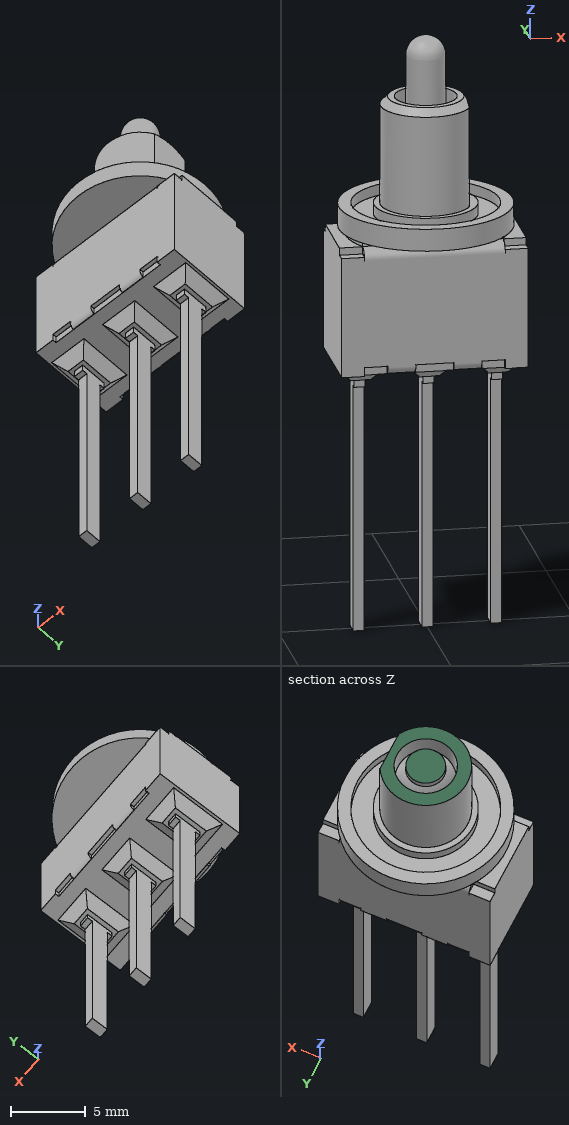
import cadquery as cq


BODY_LENGTH = 12.7
BODY_WIDTH = 6.86
BODY_HEIGHT = 8.87

END_BLOCK_LENGTH = 1.57
CORNER_STEP_WIDTH = 0.76
CORNER_STEP_DEPTH = 0.51

COVER_LENGTH = BODY_LENGTH - 2 * END_BLOCK_LENGTH
COVER_BOTTOM = 0.62
COVER_THICKNESS = 0.3
COVER_BEND_RADIUS = 0.76

TAB_LENGTH = 1.9
TAB_OFFSET = 2.25
TAB_BEND_RADIUS = 0.5

PLATE_DIAMETER = 10.9
PLATE_WIDTH = 5.25
PLATE_HEIGHT = 0.46
PLATE_EDGE_RADIUS = 0.45

FLANGE_DIAMETER = 11.81
FLANGE_THICKNESS = 1.54
RECESS_OUTER_DIAMETER = 10.01
RECESS_INNER_DIAMETER = 7.01
RECESS_DEPTH = 0.76

SLEEVE_DIAMETER = 6.16
SLEEVE_HEIGHT = 7.47
SLEEVE_CHAMFER = 0.52
SLEEVE_FLAT_X = 2.7
BORE_DIAMETER = 4.2
BORE_DEPTH = 4.0

BUTTON_DIAMETER = 2.7
BUTTON_RISE = 4.25

PIN_PITCH = 4.67
PIN_THICKNESS = 0.76
PIN_WIDTH = 1.3
PIN_SHOULDER_WIDTH = 2.1
PIN_SHOULDER_LENGTH = 0.57
FOOT_LENGTH = 2.95
FOOT_WIDTH = 4.2
FOOT_HEIGHT = 0.93
FOOT_TAPER = 0.77
TOTAL_HEIGHT = 41.33

FLANGE_BOTTOM = BODY_HEIGHT + PLATE_HEIGHT
FLANGE_TOP = FLANGE_BOTTOM + FLANGE_THICKNESS
SLEEVE_TOP = FLANGE_TOP + SLEEVE_HEIGHT
BUTTON_TOP = SLEEVE_TOP + BUTTON_RISE
PIN_TIP = BUTTON_TOP - TOTAL_HEIGHT


def block(length, width, bottom, top, x=0, y=0):
    """Upright box centred on (x, y) between two levels."""
    return (
        cq.Workplane("XY", origin=(x, y, bottom))
        .rect(length, width)
        .extrude(top - bottom)
    )


def disc(diameter, bottom, top):
    """Cylinder on the button axis between two levels."""
    return cq.Workplane("XY", origin=(0, 0, bottom)).circle(diameter / 2).extrude(top - bottom)


def end_block(side):
    """Full-width block at one end of the body, with both top corners stepped down."""
    x = side * (BODY_LENGTH - END_BLOCK_LENGTH) / 2
    solid = block(END_BLOCK_LENGTH, BODY_WIDTH, 0, BODY_HEIGHT, x)
    for corner in (-1, 1):
        y = corner * (BODY_WIDTH - CORNER_STEP_WIDTH) / 2
        step_bottom = BODY_HEIGHT - CORNER_STEP_DEPTH
        solid = solid.cut(block(END_BLOCK_LENGTH, CORNER_STEP_WIDTH, step_bottom, BODY_HEIGHT, x, y))
    return solid


def cover():
    """Middle of the body: a narrower core under the bent cover and its folded tabs."""
    core = block(COVER_LENGTH, BODY_WIDTH - 2 * COVER_THICKNESS, 0, COVER_BOTTOM)
    shell = block(COVER_LENGTH, BODY_WIDTH, COVER_BOTTOM, BODY_HEIGHT)
    solid = core.union(shell.faces(">Z").edges("|X").fillet(COVER_BEND_RADIUS))
    for side in (-1, 1):
        tab = block(TAB_LENGTH, BODY_WIDTH, 0, COVER_BOTTOM, side * TAB_OFFSET)
        solid = solid.union(tab.faces("<Z").edges("|X").fillet(TAB_BEND_RADIUS))
    return solid


def plate():
    """Disc trimmed to two parallel sides, with its whole top edge rounded."""
    round_plate = disc(PLATE_DIAMETER, BODY_HEIGHT, FLANGE_BOTTOM)
    trim = block(PLATE_DIAMETER, PLATE_WIDTH, BODY_HEIGHT, FLANGE_BOTTOM)
    return round_plate.intersect(trim).faces(">Z").edges().fillet(PLATE_EDGE_RADIUS)


def flange():
    """Round flange with a ring-shaped recess around the sleeve."""
    recess_floor = FLANGE_TOP - RECESS_DEPTH
    recess = disc(RECESS_OUTER_DIAMETER, recess_floor, FLANGE_TOP).cut(
        disc(RECESS_INNER_DIAMETER, recess_floor, FLANGE_TOP)
    )
    return disc(FLANGE_DIAMETER, FLANGE_BOTTOM, FLANGE_TOP).cut(recess)


def sleeve():
    """Chamfered sleeve with a flat side and a blind bore for the button."""
    solid = disc(SLEEVE_DIAMETER, FLANGE_TOP, SLEEVE_TOP).faces(">Z").edges().chamfer(SLEEVE_CHAMFER)
    removed_length = SLEEVE_DIAMETER / 2 - SLEEVE_FLAT_X
    solid = solid.cut(
        block(removed_length, SLEEVE_DIAMETER, FLANGE_TOP, SLEEVE_TOP, SLEEVE_FLAT_X + removed_length / 2)
    )
    return solid.cut(disc(BORE_DIAMETER, SLEEVE_TOP - BORE_DEPTH, SLEEVE_TOP))


def button():
    """Hemispherical-tipped stem rising from a half ball on the bore floor."""
    stem_radius = BUTTON_DIAMETER / 2
    ball_radius = BORE_DIAMETER / 2
    bore_floor = SLEEVE_TOP - BORE_DEPTH
    ball = (
        cq.Workplane("XY", origin=(0, 0, bore_floor))
        .sphere(ball_radius)
        .intersect(disc(BORE_DIAMETER, bore_floor, SLEEVE_TOP))
    )
    dome_base = BUTTON_TOP - stem_radius
    stem = disc(BUTTON_DIAMETER, bore_floor, dome_base)
    dome = cq.Workplane("XY", origin=(0, 0, dome_base)).sphere(stem_radius)
    return ball.union(stem).union(dome)


def pin(x):
    """Flat pin with a wider shoulder, leaving the body through a tapered foot."""
    foot = (
        cq.Workplane("XY", origin=(x, 0, 0))
        .rect(FOOT_LENGTH, FOOT_WIDTH)
        .workplane(offset=-FOOT_HEIGHT)
        .rect(FOOT_LENGTH - 2 * FOOT_TAPER, FOOT_WIDTH - 2 * FOOT_TAPER)
        .loft(ruled=True)
    )
    shoulder_bottom = -FOOT_HEIGHT - PIN_SHOULDER_LENGTH
    shoulder = block(PIN_THICKNESS, PIN_SHOULDER_WIDTH, shoulder_bottom, -FOOT_HEIGHT, x)
    blade = block(PIN_THICKNESS, PIN_WIDTH, PIN_TIP, shoulder_bottom, x)
    return foot.union(shoulder).union(blade)


result = cover()
for end_side in (-1, 1):
    result = result.union(end_block(end_side))
for upper_part in (plate(), flange(), sleeve(), button()):
    result = result.union(upper_part)
for pin_index in (-1, 0, 1):
    result = result.union(pin(pin_index * PIN_PITCH))